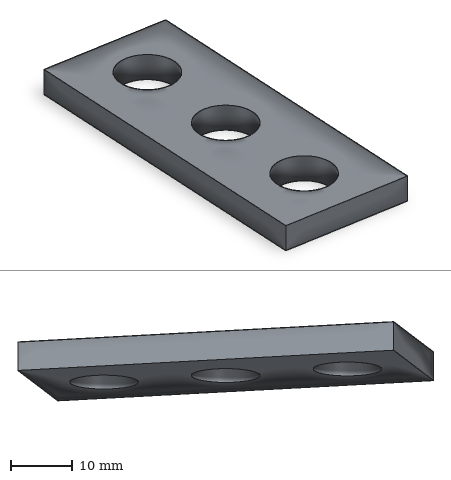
import cadquery as cq

length = 63.5
width = 25.4
thickness = 4.75

hole_diameter = 11.2
hole_pitch = 20.6
hole_count = 3

bar = cq.Workplane("XY").box(length, width, thickness)

result = (
    bar.faces(">Z")
    .workplane()
    .rarray(hole_pitch, width, hole_count, 1)
    .hole(hole_diameter)
)